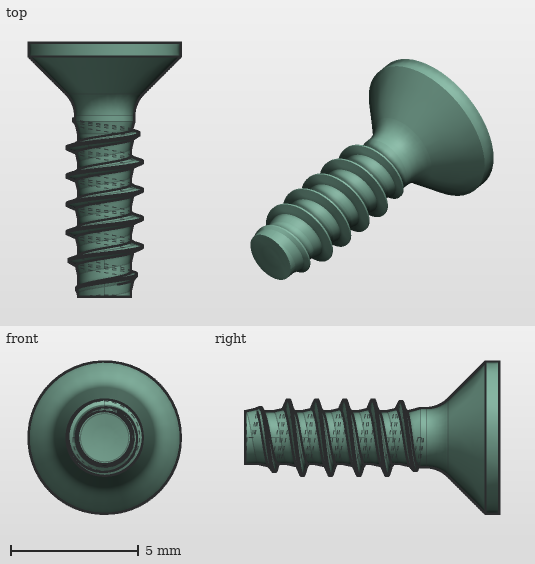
import cadquery as cq
import math

length = 10.0
head_radius = 3.0
head_rim = 0.54
cone_end_radius = 1.52
shank_radius = 1.17
shank_end = 6.9
core_radius = 1.04
core_start = 6.4

dish_radius = 0.95
dish_depth = 0.07

pitch = 1.11
thread_start = 6.97
crest_radius = 1.5
start_crest_radius = 1.25
end_crest_radius = 1.12
thread_turns = 6.0
full_crest_turn = 1.0
fade_turn = 4.75
root_fade_turn = 5.75
points_per_turn = 24

crest_half_width = 0.035
root_radius = 1.13
end_root_radius = 1.06
root_offset = 0.19
taper_offset = 0.72
shoulder_offset = -0.12
shoulder_height_share = 0.36
lead_offset = -0.24
buried_radius = 1.01


def make_body():
    rim_bottom = length - head_rim
    cone_end = rim_bottom - (head_radius - cone_end_radius)
    half = math.sqrt(0.5)
    neck_arc = (cone_end_radius - shank_radius) / (1 - half)
    neck_end = cone_end - neck_arc * half
    neck_mid = (
        shank_radius + neck_arc * (1 - math.cos(math.pi / 8)),
        neck_end + neck_arc * math.sin(math.pi / 8),
    )
    return (
        cq.Workplane("XY")
        .moveTo(0, 0)
        .lineTo(core_radius, 0)
        .lineTo(core_radius, core_start)
        .lineTo(shank_radius, shank_end)
        .lineTo(shank_radius, neck_end)
        .threePointArc(neck_mid, (cone_end_radius, cone_end))
        .lineTo(head_radius, rim_bottom)
        .lineTo(head_radius, length)
        .lineTo(0, length)
        .close()
        .revolve(360, (0, 0, 0), (0, 1, 0))
    )


def crest_at(turn):
    """Crest radius, rising over the first turn and fading near the tip."""
    if turn < full_crest_turn:
        return start_crest_radius + (crest_radius - start_crest_radius) * turn / full_crest_turn
    if turn > fade_turn:
        fade = (turn - fade_turn) / (thread_turns - fade_turn)
        return crest_radius + (end_crest_radius - crest_radius) * fade
    return crest_radius


def root_at(turn):
    """Root radius on the tip side, fading almost to the core at the tip."""
    if turn > root_fade_turn:
        fade = (turn - root_fade_turn) / (thread_turns - root_fade_turn)
        return root_radius + (end_root_radius - root_radius) * fade
    return root_radius


def thread_section(turn):
    """Corners of the thread section as (offset, radius)."""
    crest = crest_at(turn)
    height_share = (crest - core_radius) / (crest_radius - core_radius)
    shoulder = core_radius + shoulder_height_share * (crest - core_radius)
    lead_width = height_share * (lead_offset + crest_half_width)
    shoulder_width = height_share * (shoulder_offset + crest_half_width)
    return [
        (lead_width - crest_half_width, buried_radius),
        (shoulder_width - crest_half_width, shoulder),
        (-crest_half_width, crest),
        (crest_half_width, crest),
        (root_offset, root_at(turn)),
        (taper_offset, buried_radius),
    ]


def section_points(turn):
    angle = 2 * math.pi * turn
    crest_y = thread_start - pitch * turn
    return [
        cq.Vector(-radius * math.cos(angle), crest_y - offset, -radius * math.sin(angle))
        for offset, radius in thread_section(turn)
    ]


def end_cap(turn):
    return cq.Face.makeFromWires(cq.Wire.makePolygon(section_points(turn), close=True))


def make_thread():
    faces = [end_cap(0), end_cap(thread_turns)]
    breaks = [0, full_crest_turn, fade_turn, root_fade_turn, thread_turns]
    for first, last in zip(breaks, breaks[1:]):
        steps = math.ceil((last - first) * points_per_turn)
        sections = [section_points(first + (last - first) * i / steps) for i in range(steps + 1)]
        edges = [cq.Edge.makeSpline(list(path)) for path in zip(*sections)]
        for edge, following in zip(edges, edges[1:] + edges[:1]):
            faces.append(cq.Face.makeRuledSurface(edge, following))
    return cq.Workplane(cq.Solid.makeSolid(cq.Shell.makeShell(faces)))


def make_below_tip():
    """Block that trims the thread flush with the tip."""
    side = 2 * head_radius
    return cq.Workplane("XY").box(side, 2 * pitch, side).translate((0, -pitch, 0))


def make_dish():
    return (
        cq.Workplane("XY")
        .lineTo(dish_radius, 0)
        .radiusArc((0, dish_depth), -(dish_radius**2 + dish_depth**2) / (2 * dish_depth))
        .close()
        .revolve(360, (0, 0, 0), (0, 1, 0))
    )


result = make_body().union(make_thread()).cut(make_below_tip()).cut(make_dish())